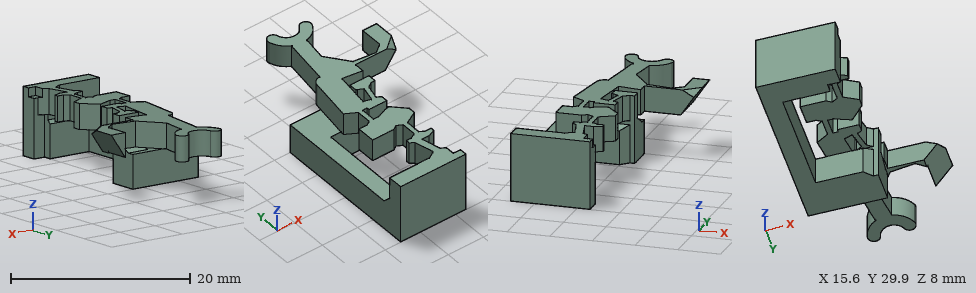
import cadquery as cq
import math

total_height = 8.0
layer_thickness = 3.0
base_height = 4.0
layer_bottom = total_height - layer_thickness

base_width = 9.28
base_length = 19.95
side_bar_width = 2.25
short_bar_width = 7.78
front_bar_depth = 3.0
rear_bar_front = 15.47
wall_thickness = 2.0
wall_notch_size = 1.02

riser_left = 6.58
riser_front = 16.4
riser_back = 17.5
riser_foot_back = 19.15
riser_foot_height = 0.5
riser_corner_x = 8.7

fork_x, fork_y = 7.05, 29.68
fork_radius = 2.27
fork_tip_radius = 0.75
fork_left_angle = 193
fork_right_angle = 335.5

hook_left = 13.6
hook_right = 15.6
hook_end_y = 24.18
hook_slope_bottom_x = 13.52
hook_corner_left = 13.73
hook_corner_back = 21.48

hinge_left, hinge_right = 6.95, 7.57
upper_hinge_left, upper_hinge_right = 4.35, 4.97
spring_bottom_y = 14.05
upper_hinge_top, upper_hinge_bottom = 13.15, 11.2
middle_hinge_top, middle_hinge_bottom = 8.38, 6.37
tie_top, tie_bottom = 5.98, 5.1
gusset_left = 5.68
gusset_left_top = (6.67, 2.6)


def prism(points, bottom=layer_bottom, height=layer_thickness):
    return cq.Workplane("XY").workplane(offset=bottom).polyline(points).close().extrude(height)


def box(left, right, front, back, bottom, top):
    size = (right - left, back - front, top - bottom)
    return cq.Workplane("XY").box(*size, centered=False).translate((left, front, bottom))


def side_prism(points, left, right):
    """Extrude a (Y, Z) outline along X."""
    outline = cq.Workplane("YZ").workplane(offset=left).polyline(points).close()
    return outline.extrude(right - left)


def base_frame():
    frame = prism([
        (0, 0), (base_width, 0), (base_width, wall_thickness),
        (short_bar_width, wall_thickness), (short_bar_width, front_bar_depth),
        (side_bar_width, front_bar_depth), (side_bar_width, rear_bar_front),
        (short_bar_width, rear_bar_front), (riser_corner_x, riser_front),
        (base_width, riser_front), (base_width, base_length), (0, base_length),
    ], 0, base_height)
    wall = box(0, base_width, 0, wall_thickness, 0, total_height)
    slope_rise = front_bar_depth - wall_thickness
    wall_slope = side_prism([
        (wall_thickness, base_height), (front_bar_depth, base_height),
        (wall_thickness, base_height + slope_rise),
    ], 0, short_bar_width)
    gusset_foot = prism([
        (gusset_left, wall_thickness), gusset_left_top,
        (short_bar_width, gusset_left_top[1]), (short_bar_width, wall_thickness),
    ], base_height, layer_bottom - base_height)
    return frame.union(wall).union(wall_slope).union(gusset_foot)


def wall_notch():
    return box(base_width - wall_notch_size, base_width,
               wall_thickness - wall_notch_size, gusset_left_top[1],
               total_height - wall_notch_size, total_height)


def riser():
    profile = [
        (rear_bar_front, base_height), (riser_front, base_height + riser_foot_height),
        (riser_front, total_height), (riser_back, total_height),
        (riser_back, layer_bottom), (riser_foot_back, base_height),
    ]
    body = side_prism(profile, riser_left, base_width)
    bevel = prism([
        (short_bar_width, rear_bar_front), (riser_corner_x, riser_front),
        (base_width, riser_front), (base_width, rear_bar_front),
    ], base_height, total_height - base_height)
    return body.cut(bevel)


def fork():
    inner = fork_radius - fork_tip_radius
    outer = fork_radius + fork_tip_radius

    def at(radius, angle):
        turn = math.radians(angle)
        return fork_x + radius * math.cos(turn), fork_y + radius * math.sin(turn)

    middle = (fork_left_angle + fork_right_angle) / 2
    ring = (
        cq.Workplane("XY").workplane(offset=layer_bottom)
        .moveTo(*at(inner, fork_left_angle))
        .threePointArc(at(inner, middle), at(inner, fork_right_angle))
        .lineTo(*at(outer, fork_right_angle))
        .threePointArc(at(outer, middle), at(outer, fork_left_angle))
        .close().extrude(layer_thickness)
    )
    tips = (
        cq.Workplane("XY").workplane(offset=layer_bottom)
        .pushPoints([at(fork_radius, fork_left_angle), at(fork_radius, fork_right_angle)])
        .circle(fork_tip_radius).extrude(layer_thickness)
    )
    return ring.union(tips)


def main_lever():
    """Tilted lever from the upper hinge to the fork, with the hook on its right."""
    return (
        cq.Workplane("XY").workplane(offset=layer_bottom)
        .moveTo(2.87, 14.0).lineTo(3.7, 19.78)
        .threePointArc((4.07, 20.47), (4.82, 20.7))
        .lineTo(5.68, 26.9).lineTo(fork_x, fork_y - fork_radius).lineTo(7.7, 26.7)
        .lineTo(7.2, 23.45).lineTo(9.4, 20.58).lineTo(12.42, 20.2)
        .lineTo(hook_left, 21.1).lineTo(hook_left, hook_end_y)
        .lineTo(hook_right, hook_end_y).lineTo(hook_right, base_length)
        .lineTo(base_width, base_length).lineTo(base_width, 18.6)
        .lineTo(riser_left, 18.97).lineTo(5.95, 14.35)
        .lineTo(hinge_left, spring_bottom_y).lineTo(hinge_right, spring_bottom_y)
        .lineTo(8.15, 13.75).lineTo(8.15, 12.85).lineTo(5.6, 12.85)
        .lineTo(5.6, upper_hinge_top).lineTo(upper_hinge_left, upper_hinge_top)
        .close().extrude(layer_thickness)
    )


def hook_slope():
    """Waste under the outer side of the hook, which leans outwards going up."""
    return (
        cq.Workplane("XZ", origin=(0, base_length, 0))
        .polyline([(hook_slope_bottom_x, layer_bottom), (hook_right, total_height),
                   (hook_right, layer_bottom)])
        .close().extrude(base_length - hook_end_y)
    )


def hook_corner():
    """Waste of the oblique facet on the upper front corner of the hook."""
    facet_depth = 1.05
    corner = cq.Vector(hook_right, base_length, total_height)
    along_x = cq.Vector(hook_corner_left, base_length, total_height)
    along_y = cq.Vector(hook_right, hook_corner_back, total_height)
    down = corner - cq.Vector(0, 0, facet_depth)
    triangles = [(corner, along_x, along_y), (corner, along_x, down),
                 (corner, along_y, down), (along_x, along_y, down)]
    faces = [cq.Face.makeFromWires(cq.Wire.makePolygon(list(t), close=True)) for t in triangles]
    return cq.Workplane(cq.Solid.makeSolid(cq.Shell.makeShell(faces)))


def spring():
    """Slanted hinge from the riser to the main lever."""
    return prism([
        (riser_left, riser_front), (6.73, riser_front), (7.42, 16.05),
        (hinge_left, spring_bottom_y), (hinge_right, spring_bottom_y),
        (8.02, 15.95), (riser_corner_x, riser_front),
    ])


def upper_hinge():
    return prism([
        (upper_hinge_left, upper_hinge_bottom), (upper_hinge_right, upper_hinge_bottom),
        (upper_hinge_right, upper_hinge_top), (upper_hinge_left, upper_hinge_top),
    ])


def crank():
    """Stiff block between the upper and the middle hinge."""
    return prism([
        (2.6, 8.38), (2.6, 10.83), (3.7, 10.83), (upper_hinge_left, upper_hinge_bottom),
        (5.68, upper_hinge_bottom), (7.6, 11.95), (base_width, 10.23), (base_width, 9.3),
        (hinge_right, middle_hinge_top), (hinge_left, middle_hinge_top), (6.22, 8.77),
        (5.62, 8.38),
    ])


def middle_hinge():
    return prism([
        (hinge_left, middle_hinge_bottom), (hinge_right, middle_hinge_bottom),
        (hinge_right, middle_hinge_top), (hinge_left, middle_hinge_top),
    ])


def tie():
    """Small cross piece, with the slanted lowest hinge and its gusset on the wall."""
    return prism([
        (hinge_left, middle_hinge_bottom), (hinge_right, middle_hinge_bottom),
        (8.2, tie_top), (9.05, tie_top), (9.05, 5.48), (8.05, tie_bottom),
        (7.03, tie_bottom), (7.65, 2.6), (8.7, wall_thickness),
        (gusset_left, wall_thickness), gusset_left_top, (6.05, tie_bottom),
        (5.5, 5.48), (5.5, tie_top), (6.22, tie_top),
    ])


lever = main_lever().union(fork()).cut(hook_slope()).cut(hook_corner())
result = base_frame().union(riser()).union(lever)
for link in (spring(), upper_hinge(), crank(), middle_hinge(), tie()):
    result = result.union(link)

result = result.cut(wall_notch())